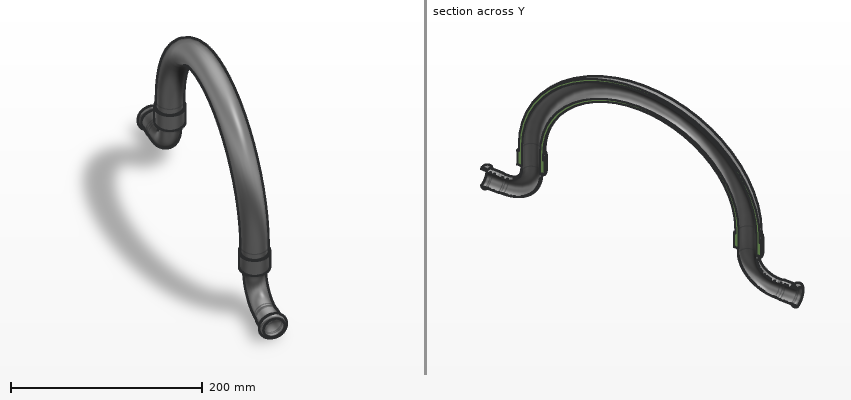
import cadquery as cq
import math

arch_radius = 130.0
hose_diameter = 30.0
hose_end_height = 65.0

sleeve_diameter = 33.0
sleeve_bottom = 37.5
sleeve_length = 20.0

overall_length = 380.0
pipe_diameter = 24.0
bore_diameter = 21.0
bend_radius = 33.0

wall = (pipe_diameter - bore_diameter) / 2
socket_inner_diameter = 22.3
socket_outer_diameter = socket_inner_diameter + 2 * wall
socket_length = 21.0
cone_end = 23.5

bead_outer_diameter = 30.8
bead_tube_radius = 3.6
bead_ring_radius = bead_outer_diameter / 2 - bead_tube_radius
throat_diameter = 22.9
throat_start = 1.8
throat_end = 5.4
lead_in_end = 7.2

mouth_x = overall_length / 2
bead_x = mouth_x - bead_tube_radius
bend_start_x = arch_radius + bend_radius


def round_bar(path, diameter, start, direction):
    """Sweep a full disc of the given diameter along a path."""
    plane = cq.Plane(origin=start, xDir=(0, 1, 0), normal=direction)
    return cq.Workplane(plane).circle(diameter / 2).sweep(path)


def arch_bar(diameter):
    """Half-circle arch with its straight ends down to the sleeve bottoms."""
    path = (
        cq.Workplane("XZ")
        .moveTo(-arch_radius, sleeve_bottom)
        .lineTo(-arch_radius, hose_end_height)
        .threePointArc((0, hose_end_height + arch_radius), (arch_radius, hose_end_height))
        .lineTo(arch_radius, sleeve_bottom)
    )
    return round_bar(path, diameter, (-arch_radius, 0, sleeve_bottom), (0, 0, 1))


def elbow_bar(diameter):
    """Right-hand elbow from the sleeve bottom round to the end of the socket cone."""
    cone_end_x = mouth_x - cone_end
    path = (
        cq.Workplane("XZ")
        .moveTo(arch_radius, sleeve_bottom)
        .lineTo(arch_radius, bend_radius)
        .radiusArc((bend_start_x, 0), -bend_radius)
        .lineTo(cone_end_x, 0)
    )
    return round_bar(path, diameter, (arch_radius, 0, sleeve_bottom), (0, 0, -1))


def sleeve():
    """Right-hand clamping sleeve."""
    return (
        cq.Workplane("XY", origin=(arch_radius, 0, sleeve_bottom))
        .circle(sleeve_diameter / 2)
        .extrude(sleeve_length)
    )


def revolve_about_mouth_axis(profile):
    """Turn a closed X-Z profile about the X axis."""
    return profile.close().revolve(360, (0, 0, 0), (1, 0, 0))


def socket_body():
    """Solid outside of the right-hand socket: cone, straight sleeve and round bead."""
    socket_radius = socket_outer_diameter / 2
    bead_half_width = math.sqrt(bead_tube_radius**2 - (socket_radius - bead_ring_radius) ** 2)
    profile = (
        cq.Workplane("XZ")
        .moveTo(mouth_x - cone_end, 0)
        .lineTo(mouth_x - cone_end, pipe_diameter / 2)
        .lineTo(mouth_x - socket_length, socket_radius)
        .lineTo(bead_x - bead_half_width, socket_radius)
        .threePointArc((bead_x, bead_outer_diameter / 2), (mouth_x, bead_ring_radius))
        .lineTo(mouth_x, 0)
    )
    return revolve_about_mouth_axis(profile)


def socket_bore():
    """Hollow of the right-hand socket: cone, pipe seat and stepped lead-in."""
    seat_radius = socket_inner_diameter / 2
    throat_radius = throat_diameter / 2
    profile = (
        cq.Workplane("XZ")
        .moveTo(mouth_x - cone_end, 0)
        .lineTo(mouth_x - cone_end, bore_diameter / 2)
        .lineTo(mouth_x - socket_length, seat_radius)
        .lineTo(mouth_x - lead_in_end, seat_radius)
        .lineTo(mouth_x - throat_end, throat_radius)
        .lineTo(mouth_x - throat_start, throat_radius)
        .lineTo(mouth_x, bead_ring_radius)
        .lineTo(mouth_x, 0)
    )
    return revolve_about_mouth_axis(profile)


def both_ends(right_end):
    """Add the mirror image of a right-hand piece."""
    return right_end.union(right_end.mirror("YZ"))


outside = (
    arch_bar(hose_diameter)
    .union(both_ends(sleeve()))
    .union(both_ends(elbow_bar(pipe_diameter)))
    .union(both_ends(socket_body()))
)
result = (
    outside
    .cut(arch_bar(bore_diameter))
    .cut(both_ends(elbow_bar(bore_diameter)))
    .cut(both_ends(socket_bore()))
)